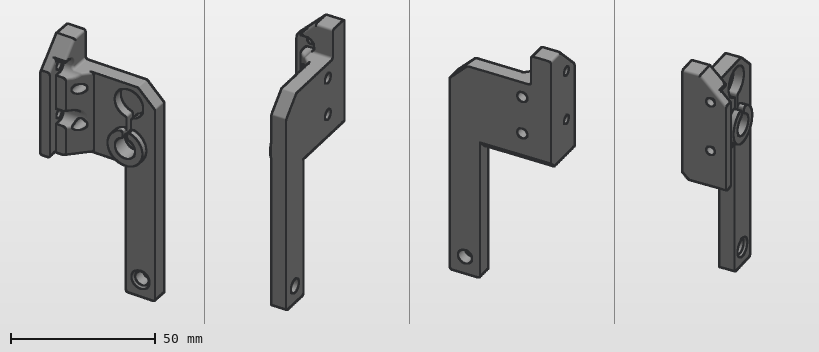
import cadquery as cq

edge_radius = 1.0

plate_width = 40.0
plate_thickness = 6.0
plate_bottom = 53.0
plate_top = 86.0
plate_corner_chamfer = 7.0
arm_width = 12.0
arm_left = plate_width - arm_width

block_top = 98.0
block_width = 8.0
block_depth = 13.0
flange_width = 4.0
flange_depth = 17.0
slant_size = 10.0
slant_start_depth = flange_depth - slant_size
gusset_size = block_depth - plate_thickness
gusset_right = block_width + gusset_size
back_bottom_chamfer = 3.0

screw_hole_diameter = 3.4
screw_depth = 11.0
screw_heights = (68.0, 88.0)
relief_radius = 3.1

gusset_hole_diameter = 4.0
gusset_hole_x = 11.4
gusset_hole_heights = (65.0, 80.0)
arm_hole_diameter = 5.5
arm_hole_countersink_diameter = 7.4
arm_hole_countersink_angle = 90.0
arm_hole_x = plate_width - arm_width / 2
arm_hole_height = 7.0

keyhole_x = 29.3
keyhole_depth = 4.0
keyhole_top_z = 78.0
keyhole_top_radius = 5.8
keyhole_bottom_z = 61.0
keyhole_bottom_radius = 4.1
keyhole_slot_width = 1.8
boss_radius = 7.1
boss_height = 2.6
boss_depth = plate_thickness + boss_height


def box_between(x_limits, y_limits, z_limits):
    """Axis-aligned box given by its lower and upper limits."""
    x0, x1 = x_limits
    y0, y1 = y_limits
    z0, z1 = z_limits
    return cq.Workplane("XY", origin=(x0, y0, z0)).box(x1 - x0, y1 - y0, z1 - z0, centered=False)


def cylinder_along_y(x, z, radius, near_depth, far_depth):
    """Cylinder along Y between two depths."""
    return cq.Workplane("XZ", origin=(x, -near_depth, z)).circle(radius).extrude(far_depth - near_depth)


def round_edges_near(body, points):
    """Round the edges whose midpoints are nearest to the given (x, depth, z) points."""
    edges = []
    for x, depth, z in points:
        nearest = cq.selectors.NearestToPointSelector((x, -depth, z))
        edges += body.edges(nearest).vals()
    return body.newObject(edges).fillet(edge_radius)


def make_plate():
    """L-shaped plate with its arm, including the strip behind the block."""
    outline = [
        (0, plate_bottom),
        (arm_left, plate_bottom),
        (arm_left, 0),
        (plate_width, 0),
        (plate_width, plate_top - plate_corner_chamfer),
        (plate_width - plate_corner_chamfer, plate_top),
        (block_width, plate_top),
        (block_width, block_top),
        (0, block_top),
    ]
    return cq.Workplane("XZ").polyline(outline).close().extrude(plate_thickness)


def make_block():
    """Stepped block with a slanted upper front, and the gusset beside it."""
    step_section = [
        (0, 0),
        (block_width, 0),
        (block_width, -block_depth),
        (flange_width, -block_depth),
        (flange_width, -flange_depth),
        (0, -flange_depth),
    ]
    gusset_section = [
        (block_width, -plate_thickness),
        (block_width, -block_depth),
        (gusset_right, -plate_thickness),
    ]
    slant_section = [
        (-slant_start_depth, block_top),
        (-flange_depth, block_top),
        (-flange_depth, block_top - slant_size),
    ]
    base = cq.Workplane("XY", origin=(0, 0, plate_bottom))
    block = base.polyline(step_section).close().extrude(block_top - plate_bottom)
    gusset = base.polyline(gusset_section).close().extrude(plate_top - plate_bottom)
    slant = cq.Workplane("YZ").polyline(slant_section).close().extrude(block_width)
    return block.cut(slant).union(gusset)


def make_blank():
    """Plate and block joined, with the inner corners at the block and at the arm filled by a radius."""
    inner_corners = [
        (block_width, block_depth / 2, plate_top),
        (arm_left, plate_thickness / 2, plate_bottom),
    ]
    blank = make_plate().union(make_block()).clean()
    return round_edges_near(blank, inner_corners)


def round_outer_edges(body):
    """Round the gusset ends, the flange, the slanted block and the outline corners."""
    gusset_x = (block_width + gusset_right) / 2
    gusset_depth = (plate_thickness + block_depth) / 2
    slant_level = block_top + slant_start_depth
    left_slant_depth = (slant_start_depth + flange_depth) / 2
    right_slant_depth = (slant_start_depth + block_depth) / 2
    flange_edge_depth = (block_depth + flange_depth) / 2
    plate_mid_depth = plate_thickness / 2

    gusset_edges = [
        (gusset_x, gusset_depth, plate_top),
        (gusset_x, gusset_depth, plate_bottom),
    ]
    flange_slant_edge = [(flange_width, flange_edge_depth, slant_level - flange_edge_depth)]
    block_edges = [
        (0, left_slant_depth, slant_level - left_slant_depth),
        (block_width, right_slant_depth, slant_level - right_slant_depth),
        (0, slant_start_depth / 2, block_top),
        (block_width, slant_start_depth / 2, block_top),
    ]
    flange_bottom_edges = [
        (0, flange_depth / 2, plate_bottom),
        (flange_width, flange_edge_depth, plate_bottom),
    ]
    outline_corners = [
        (arm_left, plate_mid_depth, 0),
        (plate_width, plate_mid_depth, 0),
        (plate_width, plate_mid_depth, plate_top - plate_corner_chamfer),
        (plate_width - plate_corner_chamfer, plate_mid_depth, plate_top),
    ]
    for group in (gusset_edges, flange_slant_edge, block_edges, flange_bottom_edges, outline_corners):
        body = round_edges_near(body, group)
    return body


def make_relief(height):
    """Slot along X behind the flange: half round at the back, open to the front."""
    bore = (
        cq.Workplane("YZ", origin=(flange_width, -screw_depth, height))
        .circle(relief_radius)
        .extrude(plate_width - flange_width)
    )
    opening = box_between(
        (flange_width, plate_width),
        (-block_depth, -screw_depth),
        (height - relief_radius, height + relief_radius),
    )
    return bore.union(opening)


def cut_reliefs(body):
    """Cut the reliefs and round the edges where they leave the block and the gusset."""
    clearance = 0.1
    for height in screw_heights:
        body = body.cut(make_relief(height))
    for height in screw_heights:
        exit_region = cq.selectors.BoxSelector(
            (block_width - clearance, -block_depth + clearance, height - relief_radius - clearance),
            (gusset_right, -plate_thickness - clearance, height + relief_radius + clearance),
        )
        body = body.edges(exit_region).fillet(edge_radius)
    return body


def chamfer_back_bottom(body):
    """45 degree cut along the lower back edge, running up to the arm and through the inner corner."""
    wedge_low = plate_bottom - edge_radius
    wedge_section = [
        (0, plate_bottom + back_bottom_chamfer),
        (0, wedge_low),
        (-back_bottom_chamfer - edge_radius, wedge_low),
    ]
    wedge = cq.Workplane("YZ").polyline(wedge_section).close().extrude(arm_left)
    return body.cut(wedge)


def drill_holes(body):
    """Screw holes along X, plain holes through the gusset and the countersunk hole in the arm."""
    for height in screw_heights:
        screw_hole = (
            cq.Workplane("YZ", origin=(0, -screw_depth, height))
            .circle(screw_hole_diameter / 2)
            .extrude(block_width)
        )
        body = body.cut(screw_hole)
    for height in gusset_hole_heights:
        body = body.cut(cylinder_along_y(gusset_hole_x, height, gusset_hole_diameter / 2, 0, block_depth))
    arm_front = cq.Workplane("XZ", origin=(arm_hole_x, -plate_thickness, arm_hole_height))
    return body.copyWorkplane(arm_front).cskHole(
        arm_hole_diameter, arm_hole_countersink_diameter, arm_hole_countersink_angle
    )


def add_keyhole(body):
    """Boss on the plate front, opened by a blind keyhole pocket with rounded slot corners."""
    floor_depth = plate_thickness - keyhole_depth
    half_slot = keyhole_slot_width / 2
    boss = cylinder_along_y(keyhole_x, keyhole_bottom_z, boss_radius, plate_thickness, boss_depth)
    top_pocket = cylinder_along_y(keyhole_x, keyhole_top_z, keyhole_top_radius, floor_depth, boss_depth)
    bottom_pocket = cylinder_along_y(
        keyhole_x, keyhole_bottom_z, keyhole_bottom_radius, floor_depth, boss_depth
    )
    slot = box_between(
        (keyhole_x - half_slot, keyhole_x + half_slot),
        (-boss_depth, -floor_depth),
        (keyhole_bottom_z, keyhole_top_z),
    )
    slot_corners = cq.selectors.BoxSelector(
        (keyhole_x - keyhole_slot_width, -boss_depth, keyhole_bottom_z),
        (keyhole_x + keyhole_slot_width, 0, keyhole_top_z),
    )
    pocket = slot.union(top_pocket).union(bottom_pocket)
    pocket = pocket.edges("|Y").edges(slot_corners).fillet(edge_radius)

    body = body.union(boss).cut(pocket)
    boss_mid_depth = (plate_thickness + boss_depth) / 2
    boss_corner_z = keyhole_bottom_z + (boss_radius**2 - half_slot**2) ** 0.5
    boss_corners = [
        (keyhole_x - half_slot, boss_mid_depth, boss_corner_z),
        (keyhole_x + half_slot, boss_mid_depth, boss_corner_z),
    ]
    return round_edges_near(body, boss_corners)


blank = make_blank()
body = round_outer_edges(blank).intersect(cut_reliefs(blank))
body = chamfer_back_bottom(body)
body = drill_holes(body)
result = add_keyhole(body)